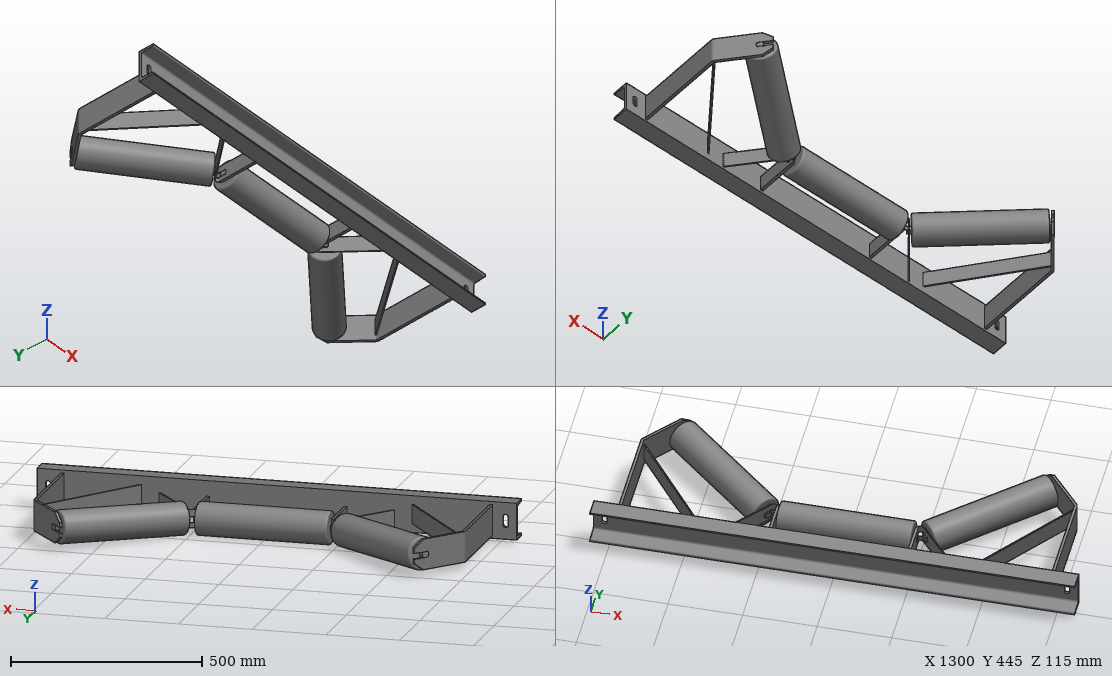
import cadquery as cq
import math


beam_length = 1300
beam_height = 100.0
flange_width = 50.0
web_thickness = 8.0
flange_toe_thickness = 6.0
flange_root_thickness = 9.0
flange_root_radius = 6.0
flange_toe_radius = 4.0
mount_slot_x = 620.0
mount_slot_length = 35.0
mount_slot_width = 14.0

roller_length = 360.0
roller_diameter = 90.0
roller_end_radius = 5.0
shaft_diameter = 21.0
shaft_flats = 15.0

middle_roller_y = 118.0
middle_roller_z = -20.0
wing_roller_x = 356.0
wing_roller_y = 245.0
wing_roller_top_z = -1.0
trough_angle = 40
middle_gap = 3.0
wing_gap = 5.0

plate_thickness = 8.0
plate_height = 83.0
bend_inner_radius = 6.0
inner_bracket_top = 8.0
inner_bracket_bottom = -42.0
inner_leg_thickness = 3.2
outer_bracket_x = 585
arm_top_y = 395.0
arm_chamfer_along = 29.0
arm_chamfer_across = 21.0
brace_height = 52
brace_thickness = 4.0
brace_foot_x = 369.0
brace_top_y = 272.0

slot_reach = roller_diameter
slot_overcut = plate_thickness / 2

bend_outer_radius = bend_inner_radius + plate_thickness
middle_stub = middle_gap + plate_thickness
wing_stub = wing_gap + plate_thickness
wing_plate_near = roller_length / 2 + wing_gap
wing_plate_far = wing_plate_near + plate_thickness
trough_cos = math.cos(math.radians(trough_angle))
trough_sin = math.sin(math.radians(trough_angle))
wing_tilt = math.asin((middle_roller_z - wing_roller_top_z) / (2 * wing_plate_near))
wing_axis = cq.Vector(
    -trough_cos * math.cos(wing_tilt),
    trough_sin * math.cos(wing_tilt),
    -math.sin(wing_tilt),
)
wing_centre = cq.Vector(-wing_roller_x, wing_roller_y, (wing_roller_top_z + middle_roller_z) / 2)

wing_frame = cq.Plane(wing_centre, xDir=(trough_sin, trough_cos, 0), normal=wing_axis)
middle_frame = cq.Plane((0, middle_roller_y, middle_roller_z), xDir=(0, 1, 0), normal=(-1, 0, 0))


def wing_point(along_axis, across):
    """Point in plan, measured outward along the wing roller axis and across it, up the arm."""
    return (
        -wing_roller_x - along_axis * trough_cos + across * trough_sin,
        wing_roller_y + along_axis * trough_sin + across * trough_cos,
    )


def wing_point_at_x(along_axis, x):
    """Plan point at X on the line across the wing roller axis at the given distance along it."""
    return wing_point(along_axis, (x + wing_roller_x + along_axis * trough_cos) / trough_sin)


def wing_point_at_y(along_axis, y):
    """Plan point at Y on the line across the wing roller axis at the given distance along it."""
    return wing_point(along_axis, (y - wing_roller_y - along_axis * trough_sin) / trough_cos)


def make_plate(outline, height, mid_z=0):
    """Vertical plate from its outline in plan."""
    return cq.Workplane("XY", origin=(0, 0, mid_z - height / 2)).polyline(outline).close().extrude(height)


def make_shaft(frame, start, length):
    """Shaft with two flats, from a start on the roller axis; a negative length runs backward."""
    plane = cq.Workplane(frame).workplane(offset=start)
    return plane.circle(shaft_diameter / 2).extrude(length).intersect(
        plane.rect(shaft_diameter, shaft_flats).extrude(length)
    )


def round_bend(plate, inner_corner, outer_corner):
    """Round the inside and outside vertical edges of a plate bend."""
    for corner, radius in ((inner_corner, bend_inner_radius), (outer_corner, bend_outer_radius)):
        edge = cq.selectors.NearestToPointSelector((*corner, 0))
        plate = plate.edges("|Z").edges(edge).fillet(radius)
    return plate


def make_beam():
    half_height = beam_height / 2
    root_z = half_height - flange_root_thickness
    toe_z = half_height - flange_toe_thickness
    outline = [
        (0, -half_height),
        (0, half_height),
        (-flange_width, half_height),
        (-flange_width, toe_z),
        (-web_thickness, root_z),
        (-web_thickness, -root_z),
        (-flange_width, -toe_z),
        (-flange_width, -half_height),
    ]
    beam = cq.Workplane("YZ").polyline(outline).close().extrude(beam_length / 2, both=True)
    for radius, y, z in (
        (flange_root_radius, -web_thickness, root_z),
        (flange_toe_radius, -flange_width, toe_z),
    ):
        for side in (-1, 1):
            edge = cq.selectors.NearestToPointSelector((0, y, side * z))
            beam = beam.edges("|X").edges(edge).fillet(radius)
    mount_slots = (
        cq.Workplane("XZ")
        .pushPoints([(-mount_slot_x, 0), (mount_slot_x, 0)])
        .slot2D(mount_slot_length, mount_slot_width, 90)
        .extrude(web_thickness)
    )
    return beam.cut(mount_slots)


def make_roller(frame, stub_length):
    barrel = (
        cq.Workplane(frame)
        .workplane(offset=-roller_length / 2)
        .circle(roller_diameter / 2)
        .extrude(roller_length)
        .edges("%CIRCLE")
        .fillet(roller_end_radius)
    )
    shaft_half_length = roller_length / 2 + stub_length
    return barrel.union(make_shaft(frame, -shaft_half_length, 2 * shaft_half_length))


def make_shaft_slot(frame, end, stub_length):
    """Cutter for an open slot that fits the shaft stub at one end (1 or -1) along local X."""
    start = end * roller_length / 2
    length = end * (stub_length + slot_overcut)
    mouth = (
        cq.Workplane(frame)
        .workplane(offset=start)
        .center(slot_reach / 2, 0)
        .rect(slot_reach, shaft_flats)
        .extrude(length)
    )
    return make_shaft(frame, start, length).union(mouth)


def make_outer_bracket():
    inner_x = -outer_bracket_x + plate_thickness
    outer_corner = wing_point_at_x(wing_plate_far, -outer_bracket_x)
    inner_corner = wing_point_at_x(wing_plate_near, inner_x)
    arm_top = (arm_top_y - wing_roller_y - wing_plate_far * trough_sin) / trough_cos
    outline = [
        (-outer_bracket_x, 0),
        outer_corner,
        wing_point(wing_plate_far, arm_top),
        wing_point(wing_plate_near, arm_top),
        inner_corner,
        (inner_x, 0),
    ]
    bracket = round_bend(make_plate(outline, plate_height), inner_corner, outer_corner)
    arm_frame = cq.Plane(
        (*wing_point(wing_plate_near, arm_top), 0),
        xDir=(trough_sin, trough_cos, 0),
        normal=(-trough_cos, trough_sin, 0),
    )
    for side in (-1, 1):
        corner_z = side * plate_height / 2
        corner = (
            cq.Workplane(arm_frame)
            .polyline([
                (0, corner_z),
                (-arm_chamfer_along, corner_z),
                (0, corner_z - side * arm_chamfer_across),
            ])
            .close()
            .extrude(plate_thickness)
        )
        bracket = bracket.cut(corner)
    return bracket.cut(make_shaft_slot(wing_frame, 1, wing_stub))


def make_inner_bracket():
    near_x = -roller_length / 2 - middle_gap
    far_x = near_x - plate_thickness
    wing_leg_far = wing_plate_near + inner_leg_thickness
    outer_corner = wing_point_at_x(-wing_plate_near, near_x)
    inner_corner = wing_point_at_x(-wing_leg_far, far_x)
    outline = [
        (near_x, 0),
        outer_corner,
        wing_point_at_y(-wing_plate_near, 0),
        wing_point_at_y(-wing_leg_far, 0),
        inner_corner,
        (far_x, 0),
    ]
    height = inner_bracket_top - inner_bracket_bottom
    mid_z = inner_bracket_bottom + height / 2
    bracket = round_bend(make_plate(outline, height, mid_z), inner_corner, outer_corner)
    bracket = bracket.cut(make_shaft_slot(middle_frame, 1, middle_stub))
    return bracket.cut(make_shaft_slot(wing_frame, -1, wing_stub))


def make_brace(outer_bracket):
    """Flat strip from the beam up to the outer bracket, trimmed to the bend."""
    top_x = -outer_bracket_x + plate_thickness
    angle = math.atan2(brace_top_y, -brace_foot_x - top_x)
    foot_half = brace_thickness / math.sin(angle) / 2
    top_half = brace_thickness / math.cos(angle) / 2
    outline = [
        (-brace_foot_x - foot_half, 0),
        (-brace_foot_x + foot_half, 0),
        (top_x, brace_top_y + top_half),
        (top_x, brace_top_y - top_half),
    ]
    return make_plate(outline, brace_height).cut(outer_bracket)


beam = make_beam()
middle_roller = make_roller(middle_frame, middle_stub)
outer_bracket = make_outer_bracket()
left_bodies = [
    make_roller(wing_frame, wing_stub),
    outer_bracket,
    make_inner_bracket(),
    make_brace(outer_bracket),
]
solids = [beam.val(), middle_roller.val()]
for body in left_bodies:
    solids.append(body.val())
    solids.append(body.mirror("YZ").val())

result = cq.Compound.makeCompound(solids)